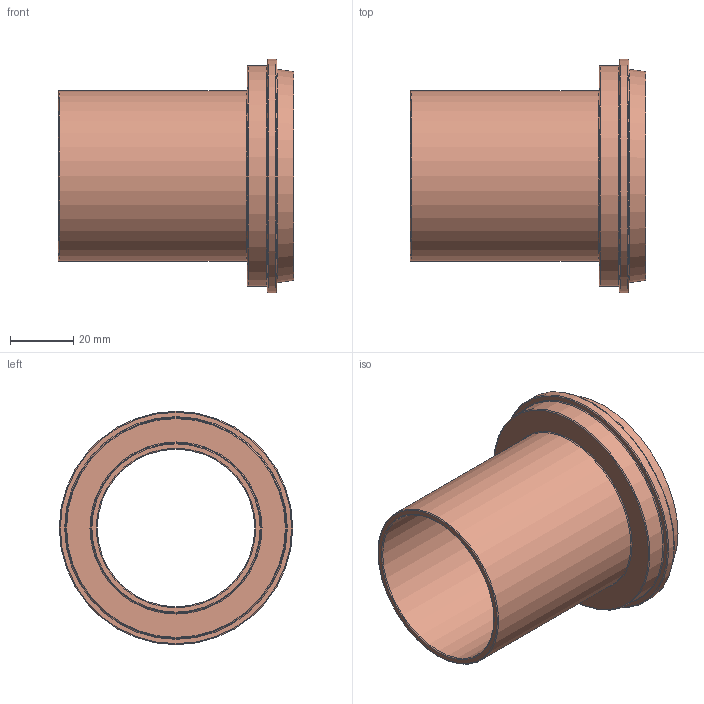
import cadquery as cq
import math

total_length = 74.67
bore_diameter = 50.0
tube_diameter = 54.0
collar_diameter = 70.0
flange_diameter = 74.0
nose_base_diameter = 67.7

tube_length = 59.9
flange_start = 66.3
flange_width = 3.0
nose_taper = 8.0
edge_radius = 0.3

flange_end = flange_start + flange_width
bore_radius = bore_diameter / 2
tube_radius = tube_diameter / 2
collar_radius = collar_diameter / 2
flange_radius = flange_diameter / 2
nose_base_radius = nose_base_diameter / 2
nose_length = total_length - flange_end
nose_tip_radius = nose_base_radius - nose_length * math.tan(math.radians(nose_taper))


def make_turned_body():
    """Revolve the sharp-cornered half section about X, tube end at the origin."""
    profile = [
        (0, bore_radius),
        (0, tube_radius),
        (tube_length, tube_radius),
        (tube_length, collar_radius),
        (flange_start, collar_radius),
        (flange_start, flange_radius),
        (flange_end, flange_radius),
        (flange_end, nose_base_radius),
        (total_length, nose_tip_radius),
        (total_length, bore_radius),
    ]
    section = cq.Workplane("XY").polyline(profile).close()
    return section.revolve(360, (0, 0, 0), (1, 0, 0))


def round_edges(body):
    """Round the tube end and every step; the edges of the nose tip stay sharp."""
    return body.edges("%CIRCLE and (not >X)").fillet(edge_radius)


rounded_body = round_edges(make_turned_body())

result = rounded_body.translate((-total_length / 2, 0, 0))